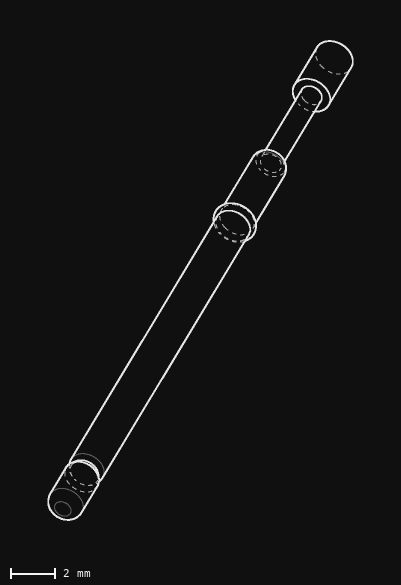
import cadquery as cq

total_length = 35.7
back_y = -total_length / 2
front_y = total_length / 2

head_length = 3.0
head_radius = 0.9
rod_radius = 0.5
head_back_y = front_y - head_length

barrel_length = 27.35
barrel_radius = 0.82
barrel_front_y = back_y + barrel_length
tail_rounding = 0.43

mouth_depth = 0.1
mouth_length = 0.3

ring_radius = 1.0
ring_half_width = 0.25
ring_y = 4.8

neck_radius = 0.68
groove_flare_length = 0.32
groove_rounding_length = 0.32
groove_back_y = back_y + 2.55
groove_neck_y = groove_back_y + groove_flare_length
groove_front_y = groove_neck_y + groove_rounding_length


def tangent_arc_radius(depth, length):
    """Radius of an arc that leaves a straight line tangentially and drops by depth over length."""
    return (depth**2 + length**2) / (2 * depth)


def make_barrel():
    """Revolved barrel with rounded ends, a crimp groove and a press ring."""
    groove_depth = barrel_radius - neck_radius
    flare_radius = tangent_arc_radius(groove_depth, groove_flare_length)
    rounding_radius = tangent_arc_radius(groove_depth, groove_rounding_length)
    mouth_arc_radius = tangent_arc_radius(mouth_depth, mouth_length)
    profile = (
        cq.Workplane("XY")
        .moveTo(0, back_y)
        .lineTo(barrel_radius - tail_rounding, back_y)
        .radiusArc((barrel_radius, back_y + tail_rounding), -tail_rounding)
        .lineTo(barrel_radius, groove_back_y)
        .radiusArc((neck_radius, groove_neck_y), flare_radius)
        .radiusArc((barrel_radius, groove_front_y), -rounding_radius)
        .lineTo(barrel_radius, ring_y - ring_half_width)
        .threePointArc((ring_radius, ring_y), (barrel_radius, ring_y + ring_half_width))
        .lineTo(barrel_radius, barrel_front_y - mouth_length)
        .radiusArc((barrel_radius - mouth_depth, barrel_front_y), -mouth_arc_radius)
        .lineTo(0, barrel_front_y)
        .close()
    )
    return profile.revolve(360, (0, 0, 0), (0, 1, 0))


def make_plunger():
    """Rod leaving the barrel mouth and the head at its tip."""
    rod_length = head_back_y - barrel_front_y
    rod = cq.Workplane("XZ", origin=(0, barrel_front_y, 0)).circle(rod_radius).extrude(-rod_length)
    head = cq.Workplane("XZ", origin=(0, head_back_y, 0)).circle(head_radius).extrude(-head_length)
    return rod.union(head)


result = make_barrel().union(make_plunger())